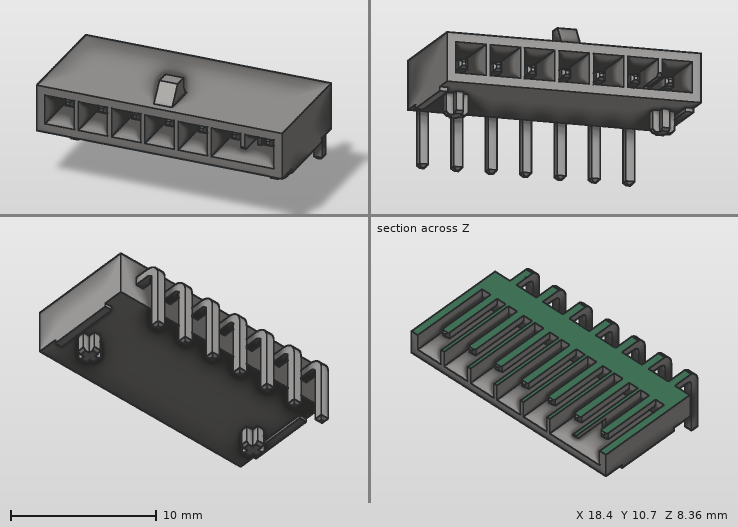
import cadquery as cq


BODY_LENGTH = 18.44
BODY_DEPTH = 8.43
BODY_HEIGHT = 3.5

PIN_COUNT = 7
PIN_ROW_SPAN = 15.0
PITCH = PIN_ROW_SPAN / (PIN_COUNT - 1)
PIN_XS = [-PIN_ROW_SPAN / 2 + i * PITCH for i in range(PIN_COUNT)]
PIN_Z = BODY_HEIGHT / 2

CELL_SIZE = 2.2
CELL_DEPTH = 6.45

NOTCH_DEPTH = 2.95
NOTCH_TOP_Z = 1.62
NOTCH_LEAD_IN = 0.24

PIN_WIDTH = 0.65
PIN_TIP_WIDTH = 0.25
PIN_TIP_LENGTH = 0.22
PIN_INSET = 1.48
PIN_REAR_REACH = 2.27
PIN_TAIL_DROP = 3.5
BEND_OUTER_RADIUS = 1.09
BEND_INNER_RADIUS = BEND_OUTER_RADIUS - PIN_WIDTH

LATCH_WIDTH = 1.36
LATCH_HEIGHT = 1.36
LATCH_FRONT_BASE_Y = 0.6
LATCH_FRONT_TOP_Y = 1.57
LATCH_REAR_TOP_Y = 2.6
LATCH_REAR_BASE_Y = 3.1
LATCH_REAR_STRAIGHT = 0.46

RAIL_WIDTH = 0.59
RAIL_HEIGHT = 0.3
RAIL_FRONT_SETBACK = 1.6
RAIL_LENGTH = BODY_DEPTH - 2 * RAIL_FRONT_SETBACK

PEG_SPAN = 1.6
PEG_ARM_WIDTH = PEG_SPAN / 3
PEG_HEIGHT = 1.53
PEG_CHAMFER = 0.2
PEG_Y = 3.23


def make_housing():
    """Block with one square cell per contact, open at the mating face."""
    housing = cq.Workplane("XY").box(BODY_LENGTH, BODY_DEPTH, BODY_HEIGHT, centered=(True, False, False))
    for x in PIN_XS:
        cell = (
            cq.Workplane("XY")
            .box(CELL_SIZE, CELL_DEPTH, CELL_SIZE, centered=(True, False, True))
            .translate((x, 0, PIN_Z))
        )
        housing = housing.cut(cell)
    return housing


def make_notch():
    """Cutter joining the last two cells, with a chamfer on the wall edge left above it."""
    wall_thickness = PITCH - CELL_SIZE
    wall_start_x = PIN_XS[-2] + CELL_SIZE / 2
    floor_z = PIN_Z - CELL_SIZE / 2
    profile = [
        (0, floor_z),
        (NOTCH_DEPTH, floor_z),
        (NOTCH_DEPTH, NOTCH_TOP_Z),
        (NOTCH_LEAD_IN, NOTCH_TOP_Z),
        (0, NOTCH_TOP_Z + NOTCH_LEAD_IN),
    ]
    notch = cq.Workplane("YZ").polyline(profile).close().extrude(wall_thickness)
    return notch.translate((wall_start_x, 0, 0))


def make_tip(plane):
    """Tapered end of a square pin, growing along the normal of the given plane."""
    return (
        cq.Workplane(plane)
        .rect(PIN_WIDTH, PIN_WIDTH)
        .workplane(offset=PIN_TIP_LENGTH)
        .rect(PIN_TIP_WIDTH, PIN_TIP_WIDTH)
        .loft(ruled=True)
    )


def make_pin():
    """Square wire bent down behind the housing, tapered at both ends, centred on X = 0."""
    top_z = PIN_Z + PIN_WIDTH / 2
    bottom_z = PIN_Z - PIN_WIDTH / 2
    rear_y = BODY_DEPTH + PIN_REAR_REACH
    tail_front_y = rear_y - PIN_WIDTH
    contact_y = PIN_INSET + PIN_TIP_LENGTH
    tail_z = PIN_TIP_LENGTH - PIN_TAIL_DROP
    wire = (
        cq.Workplane("YZ")
        .moveTo(contact_y, top_z)
        .lineTo(rear_y - BEND_OUTER_RADIUS, top_z)
        .tangentArcPoint((rear_y, top_z - BEND_OUTER_RADIUS), relative=False)
        .lineTo(rear_y, tail_z)
        .lineTo(tail_front_y, tail_z)
        .lineTo(tail_front_y, bottom_z - BEND_INNER_RADIUS)
        .tangentArcPoint((tail_front_y - BEND_INNER_RADIUS, bottom_z), relative=False)
        .lineTo(contact_y, bottom_z)
        .close()
        .extrude(PIN_WIDTH / 2, both=True)
    )
    contact_tip = make_tip("XZ").translate((0, contact_y, PIN_Z))
    tail_plane = cq.Plane(origin=(0, rear_y - PIN_WIDTH / 2, tail_z), xDir=(1, 0, 0), normal=(0, 0, -1))
    return wire.union(contact_tip).union(make_tip(tail_plane))


def make_latch():
    """Latch ramp with a sloped front and a hollow curved back."""
    top_z = BODY_HEIGHT + LATCH_HEIGHT
    return (
        cq.Workplane("YZ")
        .moveTo(LATCH_FRONT_BASE_Y, BODY_HEIGHT)
        .lineTo(LATCH_FRONT_TOP_Y, top_z)
        .lineTo(LATCH_REAR_TOP_Y, top_z)
        .lineTo(LATCH_REAR_TOP_Y, top_z - LATCH_REAR_STRAIGHT)
        .tangentArcPoint((LATCH_REAR_BASE_Y, BODY_HEIGHT), relative=False)
        .close()
        .extrude(LATCH_WIDTH / 2, both=True)
    )


def make_rail():
    """Standoff rail centred on X = 0, hanging from the underside."""
    return (
        cq.Workplane("XY")
        .box(RAIL_WIDTH, RAIL_LENGTH, RAIL_HEIGHT, centered=(True, False, False))
        .translate((0, RAIL_FRONT_SETBACK, -RAIL_HEIGHT))
    )


def make_peg():
    """Cross-shaped peg whose four arms are chamfered at their lower ends."""
    arm = (
        cq.Workplane("XY")
        .box(PEG_SPAN, PEG_ARM_WIDTH, PEG_HEIGHT)
        .edges("<Z and |Y")
        .chamfer(PEG_CHAMFER)
    )
    cross = arm.union(arm.rotate((0, 0, 0), (0, 0, 1), 90))
    return cross.translate((0, PEG_Y, -PEG_HEIGHT / 2))


result = make_housing().cut(make_notch()).union(make_latch())

for pin_x in PIN_XS:
    result = result.union(make_pin().translate((pin_x, 0, 0)))

for side in (-1, 1):
    rail_x = side * (BODY_LENGTH - RAIL_WIDTH) / 2
    peg_x = side * PIN_ROW_SPAN / 2
    result = result.union(make_rail().translate((rail_x, 0, 0)))
    result = result.union(make_peg().translate((peg_x, 0, 0)))